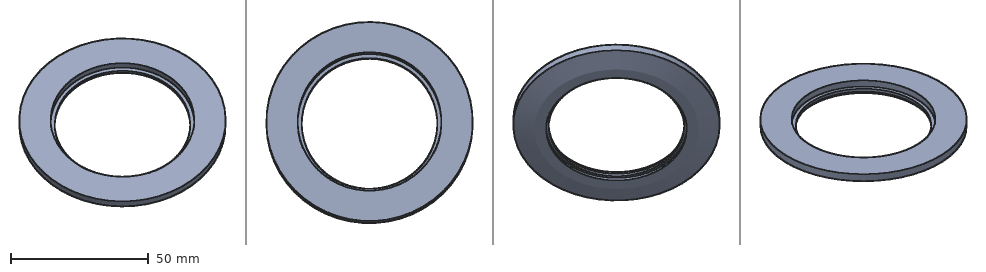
import cadquery as cq

outer_diameter = 75.0
total_height = 5.1
rim_height = 3.1
bottom_face_diameter = 59.6

bore_diameter = 49.2
recess_diameter = 52.2
recess_depth = 2.6
lower_recess_diameter = 51.1
lower_recess_depth = 1.3

outer_radius = outer_diameter / 2
bottom_face_radius = bottom_face_diameter / 2
bore_radius = bore_diameter / 2
recess_radius = recess_diameter / 2
lower_recess_radius = lower_recess_diameter / 2
rim_bottom = total_height - rim_height
ledge_height = total_height - recess_depth

half_section = (
    cq.Workplane("XZ")
    .moveTo(lower_recess_radius, 0)
    .lineTo(bottom_face_radius, 0)
    .lineTo(outer_radius, rim_bottom)
    .lineTo(outer_radius, total_height)
    .lineTo(recess_radius, total_height)
    .lineTo(recess_radius, ledge_height)
    .lineTo(bore_radius, ledge_height)
    .lineTo(bore_radius, lower_recess_depth)
    .lineTo(lower_recess_radius, lower_recess_depth)
    .close()
)

result = half_section.revolve(360, (0, 0, 0), (0, 1, 0))